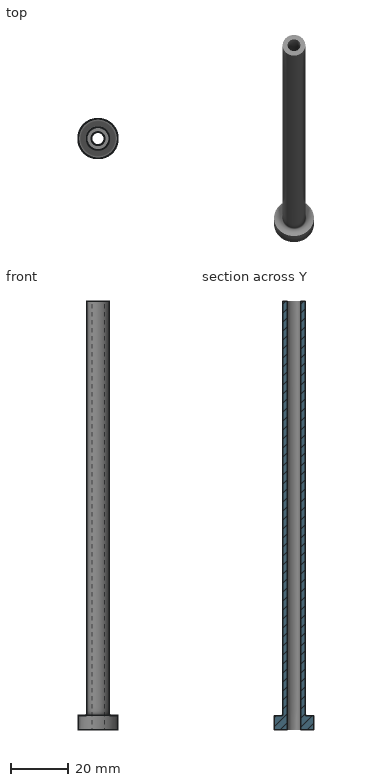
import cadquery as cq

total_length = 150.0
head_diameter = 14.0
head_height = 5.1
shaft_diameter = 8.0
bore_diameter = 4.5
root_fillet_radius = 0.5


def make_head():
    return cq.Workplane("XY").circle(head_diameter / 2).extrude(head_height)


def add_shaft(head):
    shaft_length = total_length - head_height
    return head.faces(">Z").workplane().circle(shaft_diameter / 2).extrude(shaft_length)


def round_shaft_root(body):
    root_edge = cq.selectors.RadiusNthSelector(0)
    head_top = body.faces("|Z").faces(cq.selectors.NearestToPointSelector((0, 0, head_height)))
    return head_top.edges(root_edge).fillet(root_fillet_radius)


sleeve = round_shaft_root(add_shaft(make_head()))

result = sleeve.faces(">Z").workplane().hole(bore_diameter)